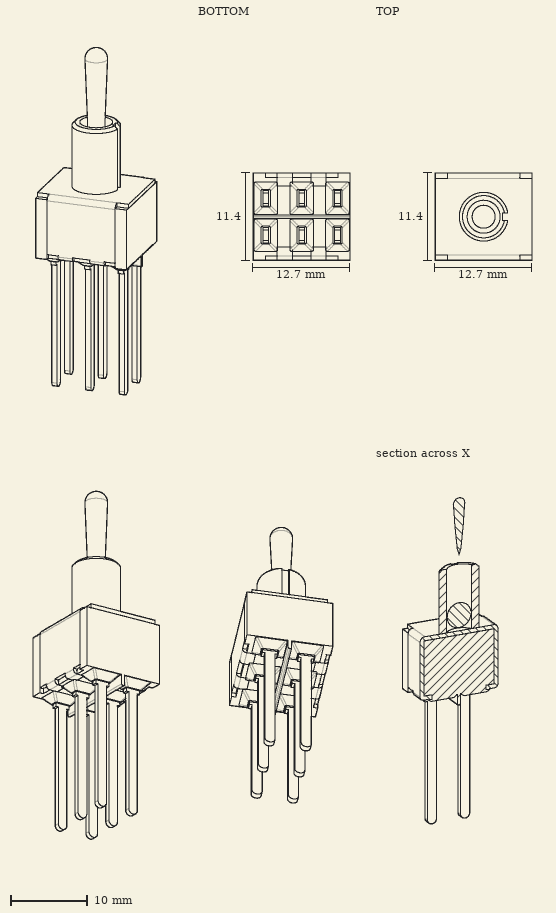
import cadquery as cq


body_x = 12.7
body_y = 11.45
body_top = 8.35
divider_thickness = 0.45
divider_drop = 1.55
divider_edge_radius = 0.21

sheet = 0.55
frame_top = body_top + sheet
flange_x = 9.45
flange_bottom = 0.7
bend_radius = 0.7
tab_x = 2.0
tab_center_x = 2.2
tab_length = 1.15
tab_bend_radius = sheet

bushing_diameter = 6.38
bushing_height = 8.9
bushing_top = frame_top + bushing_height
bushing_chamfer = 0.4
bore_diameter = 4.3
keyway_width = 1.0
keyway_floor_x = 2.5

lever_top = 28.15
lever_tip_radius = 1.5
lever_root_diameter = 1.65
ball_radius = bore_diameter / 2
ball_z = frame_top + ball_radius

total_height = 46.9
terminal_bottom = lever_top - total_height
terminal_pitch_x = 4.7
terminal_pitch_y = 4.85
terminal_thickness = 0.75
terminal_width = 1.35
terminal_tip_rise = 0.65
shoulder_width = 2.05
shoulder_height = 0.5
pad_height = 1.05
pad_slope_inset = 0.95
pad_end_x = 1.2
pad_end_y = 2.35
pad_corner = 0.25

terminal_places = [
    (column * terminal_pitch_x, row * terminal_pitch_y / 2)
    for column in (-1, 0, 1)
    for row in (-1, 1)
]


def z_box(size_x, size_y, bottom, top, x=0.0, y=0.0):
    """Box centred on (x, y) between two heights."""
    return (
        cq.Workplane("XY", origin=(x, y, bottom))
        .box(size_x, size_y, top - bottom, centered=(True, True, False))
    )


def make_tab_strap(x):
    """Strip that carries a tab at each end, both folded in under the housing."""
    strap = z_box(tab_x, body_y, 0, frame_top - bend_radius, x)
    strap = strap.edges("|X and <Z").fillet(tab_bend_radius)
    gap_between_tabs = z_box(tab_x, body_y - 2 * (sheet + tab_length), 0, sheet, x)
    return strap.cut(gap_between_tabs)


def make_frame():
    """Top plate with two bent-down flanges, each with two tabs folded under the housing."""
    frame = z_box(flange_x, body_y, flange_bottom, frame_top).edges("|X and >Z").fillet(bend_radius)
    frame = frame.union(z_box(body_x, body_y - 2 * bend_radius, body_top, frame_top))
    for x in (-tab_center_x, tab_center_x):
        frame = frame.union(make_tab_strap(x))
    inside = z_box(body_x, body_y - 2 * sheet, sheet, body_top)
    return frame.cut(inside)


def rounded_rectangle(size_x, size_y, corner):
    return cq.Sketch().rect(size_x, size_y).vertices().fillet(corner)


def make_pad(x, y):
    """Pad above one terminal, tapering downwards with rounded corners."""
    end = rounded_rectangle(pad_end_x, pad_end_y, pad_corner)
    root = rounded_rectangle(
        pad_end_x + 2 * pad_slope_inset,
        pad_end_y + 2 * pad_slope_inset,
        pad_corner,
    )
    return (
        cq.Workplane("XY", origin=(x, y, 0))
        .placeSketch(root, end.moved(cq.Location(cq.Vector(0, 0, -pad_height))))
        .loft()
    )


def make_divider():
    """Wall between the two terminal rows, with a rounded lower edge."""
    wall = z_box(body_x, divider_thickness, -divider_drop, sheet)
    return wall.edges("|X and <Z").fillet(divider_edge_radius)


def make_housing(frame):
    """Block recessed for the frame, with the divider and the terminal pads underneath."""
    block = z_box(body_x, body_y, 0, body_top)
    flange_channels = z_box(flange_x, body_y, 0, body_top).cut(
        z_box(flange_x, body_y - 2 * sheet, 0, body_top)
    )
    housing = block.cut(flange_channels).cut(frame).union(make_divider())
    for x, y in terminal_places:
        housing = housing.union(make_pad(x, y))
    return housing


def make_bushing():
    """Tube with a chamfered rim and a full-length keyway on its +X side."""
    bushing = (
        cq.Workplane("XY", origin=(0, 0, frame_top))
        .circle(bushing_diameter / 2)
        .extrude(bushing_height)
        .faces(">Z")
        .chamfer(bushing_chamfer)
    )
    bore = cq.Workplane("XY", origin=(0, 0, frame_top)).circle(bore_diameter / 2).extrude(bushing_height)
    keyway_x = keyway_floor_x + bushing_diameter / 2
    keyway = z_box(bushing_diameter, keyway_width, frame_top, bushing_top, keyway_x)
    return bushing.cut(bore).cut(keyway)


def make_lever():
    """Handle flaring from a narrow root up to a round tip, with a ball that fits the bushing bore."""
    tip_z = lever_top - lever_tip_radius
    handle = (
        cq.Workplane("XZ")
        .moveTo(0, frame_top)
        .lineTo(lever_root_diameter / 2, frame_top)
        .lineTo(lever_tip_radius, tip_z)
        .radiusArc((0, lever_top), -lever_tip_radius)
        .close()
        .revolve(360, (0, 0), (0, 1))
    )
    ball = cq.Workplane("XY", origin=(0, 0, ball_z)).sphere(ball_radius)
    return handle.union(ball)


def make_terminal(x, y):
    """Flat blade with a wide shoulder under its pad and a rounded tip."""
    blade_half = terminal_width / 2
    shoulder_half = shoulder_width / 2
    shoulder_bottom = -pad_height - shoulder_height
    tip_start = terminal_bottom + terminal_tip_rise
    return (
        cq.Workplane("YZ", origin=(x - terminal_thickness / 2, y, 0))
        .moveTo(-shoulder_half, -pad_height)
        .lineTo(-shoulder_half, shoulder_bottom)
        .lineTo(-blade_half, shoulder_bottom)
        .lineTo(-blade_half, tip_start)
        .threePointArc((0, terminal_bottom), (blade_half, tip_start))
        .lineTo(blade_half, shoulder_bottom)
        .lineTo(shoulder_half, shoulder_bottom)
        .lineTo(shoulder_half, -pad_height)
        .close()
        .extrude(terminal_thickness)
    )


frame = make_frame()
housing = make_housing(frame)
bushing = make_bushing()
lever = make_lever()
terminals = [make_terminal(x, y).val() for x, y in terminal_places]

result = cq.Compound.makeCompound([housing.val(), frame.val(), bushing.val(), lever.val(), *terminals])